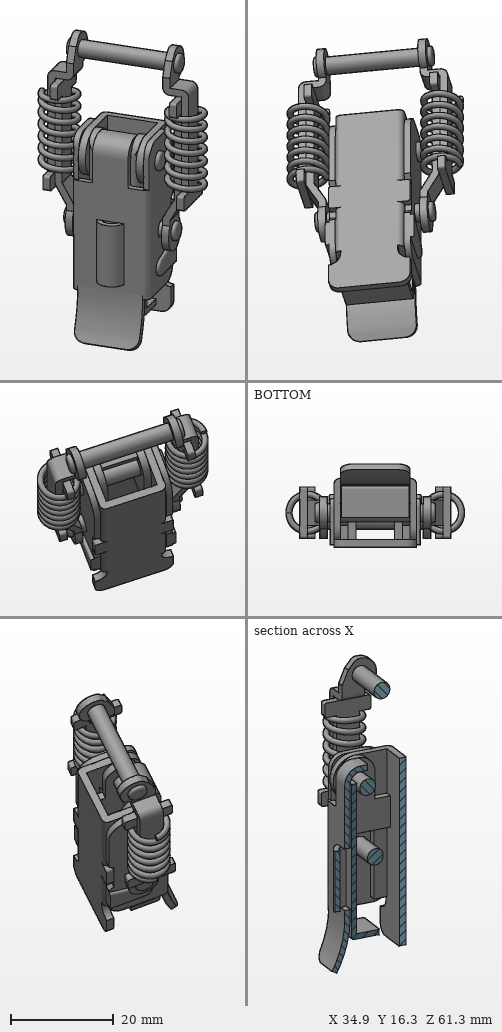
import cadquery as cq
import math


base_sheet = 1.55
base_half_width = 6.8
base_corner_radius = 1.15
base_bottom = 11.65
body_top = 43.0
base_wall_depth = 4.3
foot_half_width = 8.1
foot_bottom = 3.1
foot_top = 8.65
foot_corner_radius = 2.1
ear_bottom = 21.7
ear_top = 26.65
ear_corner_radius = 0.5

lever_sheet = 1.3
lever_half_width = base_half_width + lever_sheet
lever_front = -13.5
lever_back = -0.5
lever_bottom = 10.4
lever_bend_radius = 1.3
wall_top_back_radius = 4.55
wall_top_front_radius = 3.0
wall_bottom_radius = 3.3
wall_setback = 0.55
slot_bottom = 33.6
slot_corner_radius = 0.35
relief_depth = 1.05
relief_bottom = 19.3
relief_top = 28.4
tongue_radius = 3.55
handle_top = 11.2
handle_outer_radius = 21.45
handle_corner_radius = 2.3
rib_radius = 3.0
rib_inner_radius = 1.85
rib_height = 2.1
rib_bottom = 13.0
rib_top = 25.9
bump_height = 0.75
bump_nose_radius = 1.8
bump_nose_y = -7.8
bump_nose_z = 15.4
bump_back_top = 18.9
bump_edge_radius = 0.4

lock_half_width = base_half_width - base_sheet
lock_inner_half_width = 3.75
lock_gap = 0.2
lock_web = 1.2
lock_bend_radius = 1.05
lock_wall_bottom = 27.0
hook_half_width = 6.6
hook_bottom = 6.4
hook_tip = -5.8
hook_bend_radius = 0.75

pin_radius = 1.8
head_radius = 1.95
head_length = 0.9
head_edge_radius = 0.5
pivot_y = -8.4
pivot_z = 38.1
top_pin_y = -5.3
top_pin_z = 58.0
link_y = -6.75
low_pin_z = 23.05

strap_sheet = 1.55
strap_width = 4.95
strap_head_inner = 9.3
strap_head_outer = strap_head_inner + strap_sheet
strap_plane = 13.25
cross_width = 10.1
cross_height = 3.05
cross_corner_radius = 0.5
upper_cross_top = 52.1
lower_cross_bottom = 29.6
step_top = 54.2
step_bend_radius = 1.5
eye_radius = 3.3
eye_offset = 0.25
eye_top_front = -5.7
shoulder_radius = 2.1
shoulder_end = (-7.0, 60.3)
flank_start = (-7.9, 59.35)
flank_foot_z = 56.3
low_eye_radius = 3.1
low_eye_stretch = 1.0
joggle_top = 30.65
joggle_bottom = 26.55
section_depth = 36.8

wire_radius = 0.6
spring_diameter = 8.4
coil_radius = spring_diameter / 2 - wire_radius
spring_top = upper_cross_top - cross_height
spring_bottom = lower_cross_bottom + cross_height
active_turns = 6


def box(x0, x1, y0, y1, z0, z1):
    return cq.Workplane("XY").box(x1 - x0, y1 - y0, z1 - z0, centered=False).translate((x0, y0, z0))


def side_sketch(x):
    """Sketch plane normal to X at the given x, with local axes Y and Z."""
    return cq.Workplane("YZ", origin=(x, 0, 0))


def front_sketch(y):
    """Sketch plane at the given y, with local axes X and Z, extruding toward -Y."""
    return cq.Workplane("XZ", origin=(0, y, 0))


def both_sides(shape):
    return shape.union(shape.mirror("YZ"))


def round_bar(radius, half_length, y, z):
    return side_sketch(-half_length).center(y, z).circle(radius).extrude(2 * half_length)


def headed_pin(seat, y, z):
    """Pin along X whose rounded heads start at x = +-seat."""
    head = side_sketch(seat).center(y, z).circle(head_radius).extrude(head_length)
    head = head.faces(">X").edges().fillet(head_edge_radius)
    return round_bar(pin_radius, seat, y, z).union(both_sides(head))


def build_base():
    channel = box(-base_half_width, base_half_width, pivot_y, 0, base_bottom, body_top)
    channel = channel.edges("|Z and >Y").fillet(base_corner_radius)
    inner = base_half_width - base_sheet
    channel = channel.cut(box(-inner, inner, pivot_y, -base_sheet, base_bottom, body_top))

    boss_radius = body_top - pivot_z
    channel = channel.cut(
        box(-base_half_width, base_half_width, pivot_y, -base_wall_depth, base_bottom, pivot_z)
    )
    boss = side_sketch(inner).center(pivot_y, pivot_z).circle(boss_radius).extrude(base_sheet)
    base = channel.union(both_sides(boss))

    neck = base_half_width - base_corner_radius
    flare = foot_half_width - neck
    foot = (
        front_sketch(0)
        .moveTo(-foot_half_width, foot_bottom)
        .lineTo(foot_half_width, foot_bottom)
        .lineTo(foot_half_width, foot_top)
        .radiusArc((neck, foot_top + flare), flare)
        .lineTo(neck, base_bottom + base_sheet)
        .lineTo(-neck, base_bottom + base_sheet)
        .lineTo(-neck, foot_top + flare)
        .radiusArc((-foot_half_width, foot_top), flare)
        .close()
        .extrude(base_sheet)
    )
    foot = foot.edges("|Y and <Z").fillet(foot_corner_radius)

    ears = box(-foot_half_width, foot_half_width, -base_sheet, 0, ear_bottom, ear_top)
    ears = ears.edges("|Y").fillet(ear_corner_radius)
    base = base.union(foot).union(ears)
    return base.cut(round_bar(pin_radius, base_half_width, pivot_y, pivot_z))


def lever_channel():
    channel = box(-lever_half_width, lever_half_width, lever_front, lever_back, lever_bottom, body_top)
    channel = channel.edges("|Z and <Y").fillet(lever_bend_radius)
    inside = box(
        -base_half_width, base_half_width, lever_front + lever_sheet, lever_back, lever_bottom, body_top
    )
    channel = channel.cut(inside)

    upper_front = lever_front + wall_setback
    relief_y = lever_back - relief_depth
    wall = (
        side_sketch(-lever_half_width)
        .moveTo(lever_front, lever_bottom)
        .lineTo(lever_front, slot_bottom)
        .lineTo(upper_front, slot_bottom)
        .lineTo(upper_front, body_top - wall_top_front_radius)
        .radiusArc((upper_front + wall_top_front_radius, body_top), wall_top_front_radius)
        .lineTo(lever_back - wall_top_back_radius, body_top)
        .radiusArc((lever_back, body_top - wall_top_back_radius), wall_top_back_radius)
        .lineTo(lever_back, relief_top)
        .lineTo(relief_y, relief_top - relief_depth)
        .lineTo(relief_y, relief_bottom + relief_depth)
        .lineTo(lever_back, relief_bottom)
        .lineTo(lever_back, lever_bottom + wall_bottom_radius)
        .radiusArc((lever_back - wall_bottom_radius, lever_bottom), wall_bottom_radius)
        .close()
        .extrude(2 * lever_half_width)
    )
    opening = box(-base_half_width, base_half_width, lever_front, pivot_y, slot_bottom, body_top)
    return channel.intersect(wall).cut(opening)


def lever_tongue():
    """Strip of the front sheet bent back over the pivot."""
    curl_z = body_top - tongue_radius
    inner_radius = tongue_radius - lever_sheet
    front_center = lever_front + tongue_radius
    return (
        side_sketch(-lock_inner_half_width)
        .moveTo(lever_front, slot_bottom)
        .lineTo(lever_front, curl_z)
        .radiusArc((front_center, body_top), tongue_radius)
        .lineTo(pivot_y, body_top)
        .lineTo(pivot_y, body_top - lever_sheet)
        .lineTo(front_center, body_top - lever_sheet)
        .radiusArc((lever_front + lever_sheet, curl_z), -inner_radius)
        .lineTo(lever_front + lever_sheet, slot_bottom)
        .close()
        .extrude(2 * lock_inner_half_width)
    )


def lever_handle():
    """Sheet bent forward on an arc about an axis along X, ending square at Z = 0."""
    center_y = lever_front - handle_outer_radius
    inner_radius = handle_outer_radius + lever_sheet
    sweep = math.asin(handle_top / inner_radius)

    def on_arc(radius, angle):
        return (center_y + radius * math.cos(angle), handle_top - radius * math.sin(angle))

    handle = (
        side_sketch(-base_half_width)
        .moveTo(*on_arc(handle_outer_radius, 0))
        .threePointArc(on_arc(handle_outer_radius, sweep / 2), on_arc(handle_outer_radius, sweep))
        .lineTo(*on_arc(inner_radius, sweep))
        .threePointArc(on_arc(inner_radius, sweep / 2), on_arc(inner_radius, 0))
        .close()
        .extrude(2 * base_half_width)
    )
    return handle.faces("<Z").edges("not |X").fillet(handle_corner_radius)


def lever_bump():
    """Wedge raised on the +X wall, narrowing to a round nose."""
    run = lever_back - bump_nose_y
    rise = bump_back_top - bump_nose_z
    tangent = math.atan2(rise, run) + math.acos(bump_nose_radius / math.hypot(run, rise))
    touch = (
        bump_nose_y + bump_nose_radius * math.cos(tangent),
        bump_nose_z + bump_nose_radius * math.sin(tangent),
    )
    bump = (
        side_sketch(lever_half_width)
        .moveTo(lever_back, bump_back_top)
        .lineTo(*touch)
        .threePointArc(
            (bump_nose_y - bump_nose_radius, bump_nose_z),
            (bump_nose_y, bump_nose_z - bump_nose_radius),
        )
        .lineTo(lever_back, bump_nose_z - bump_nose_radius)
        .close()
        .extrude(bump_height)
    )
    return bump.faces(">X").edges("not >Y").fillet(bump_edge_radius)


def build_lever():
    lever = lever_channel().union(lever_tongue())
    corner = cq.selectors.BoxSelector(
        (-lock_half_width, lever_front - lever_sheet, slot_bottom - slot_corner_radius),
        (lock_half_width, lever_front + 2 * lever_sheet, slot_bottom + slot_corner_radius),
    )
    lever = lever.edges("|Y").edges(corner).fillet(slot_corner_radius)
    lever = lever.union(lever_handle())

    rib_y = lever_front + rib_radius - rib_height
    rib_length = rib_top - rib_bottom
    rib_plane = cq.Workplane("XY", origin=(0, rib_y, rib_bottom))
    rib = rib_plane.circle(rib_radius).extrude(rib_length)
    rib_front = lever_front - rib_height
    rib_back = lever_front + lever_sheet
    rib = rib.intersect(box(-rib_radius, rib_radius, rib_front, rib_back, rib_bottom, rib_top))
    lever = lever.union(rib).cut(rib_plane.circle(rib_inner_radius).extrude(rib_length))

    lever = lever.union(both_sides(lever_bump()))
    lever = lever.union(headed_pin(lever_half_width, pivot_y, pivot_z))
    return lever.cut(round_bar(pin_radius, lever_half_width, link_y, low_pin_z))


def build_lock():
    front = lever_front + lever_sheet + lock_gap
    curl_z = body_top - tongue_radius
    head_y = front + tongue_radius

    outline = (
        side_sketch(-lock_half_width)
        .moveTo(front, lock_wall_bottom)
        .lineTo(front, curl_z)
        .threePointArc((head_y, body_top), (head_y + tongue_radius, curl_z))
        .lineTo(head_y + tongue_radius, slot_bottom)
        .lineTo(-base_sheet, slot_bottom)
        .lineTo(-base_sheet, lock_wall_bottom)
        .close()
        .extrude(2 * lock_half_width)
    )
    channel = box(-lock_half_width, lock_half_width, front, -base_sheet, lock_wall_bottom, body_top)
    channel = channel.edges("|Z and <Y").fillet(lock_bend_radius).intersect(outline)
    inner = lock_inner_half_width
    channel = channel.cut(box(-inner, inner, front + lock_web, -base_sheet, lock_wall_bottom, body_top))
    channel = channel.cut(box(-inner, inner, front, -base_sheet, curl_z, body_top))

    web = box(-hook_half_width, hook_half_width, front, hook_tip, hook_bottom, lock_wall_bottom)
    web = web.edges("|X and <Y and <Z").fillet(hook_bend_radius)
    web = web.cut(
        box(
            -hook_half_width, hook_half_width, front + lock_web, hook_tip,
            hook_bottom + lock_web, lock_wall_bottom,
        )
    )
    return channel.union(web).cut(round_bar(pin_radius, lock_half_width, pivot_y, pivot_z))


def strap_blank(bottom, top):
    """Straight strap outline, deep enough in X for any bend of the strap."""
    half = strap_width / 2
    return box(0, strap_plane + strap_sheet, link_y - half, link_y + half, bottom, top)


def cross_piece(bottom):
    half = cross_width / 2
    bar = box(
        0, strap_plane + strap_sheet, link_y - half, link_y + half, bottom, bottom + cross_height
    )
    return bar.edges("|X").fillet(cross_corner_radius)


def build_upper_link():
    outer = strap_plane + strap_sheet
    step_bottom = step_top - strap_sheet
    section = (
        front_sketch(section_depth / 2)
        .moveTo(strap_head_inner, top_pin_z + eye_radius)
        .lineTo(strap_head_inner, step_bottom + step_bend_radius)
        .radiusArc((strap_head_inner + step_bend_radius, step_bottom), -step_bend_radius)
        .lineTo(strap_plane, step_bottom)
        .lineTo(strap_plane, lower_cross_bottom)
        .lineTo(outer, lower_cross_bottom)
        .lineTo(outer, step_top - step_bend_radius)
        .radiusArc((outer - step_bend_radius, step_top), -step_bend_radius)
        .lineTo(strap_head_outer, step_top)
        .lineTo(strap_head_outer, top_pin_z + eye_radius)
        .close()
        .extrude(section_depth)
    )

    strap_front = link_y - strap_width / 2
    strap_back = link_y + strap_width / 2
    eye_y = top_pin_y + eye_offset
    eye_foot = top_pin_z - math.sqrt(eye_radius**2 - (strap_back - eye_y) ** 2)
    eye = (
        side_sketch(0)
        .moveTo(strap_back, eye_foot)
        .threePointArc((eye_y + eye_radius, top_pin_z), (eye_y, top_pin_z + eye_radius))
        .lineTo(eye_top_front, top_pin_z + eye_radius)
        .radiusArc(shoulder_end, -shoulder_radius)
        .lineTo(*flank_start)
        .lineTo(strap_front, flank_foot_z)
        .lineTo(strap_front, eye_foot)
        .close()
        .extrude(outer)
    )
    strap = strap_blank(lower_cross_bottom, eye_foot).union(eye)
    strap = strap.union(cross_piece(lower_cross_bottom)).intersect(section)
    return both_sides(strap).union(headed_pin(strap_head_outer, top_pin_y, top_pin_z))


def build_lower_link():
    bottom = low_pin_z - low_eye_stretch - low_eye_radius
    strap_inner = strap_plane - strap_sheet
    slant = math.atan2(strap_inner - strap_head_inner, joggle_top - joggle_bottom)
    miter_drop = strap_sheet * math.tan(slant / 2)
    section = (
        front_sketch(section_depth / 2)
        .moveTo(strap_inner, upper_cross_top)
        .lineTo(strap_inner, joggle_top)
        .lineTo(strap_head_inner, joggle_bottom)
        .lineTo(strap_head_inner, bottom)
        .lineTo(strap_head_outer, bottom)
        .lineTo(strap_head_outer, joggle_bottom - miter_drop)
        .lineTo(strap_plane, joggle_top - miter_drop)
        .lineTo(strap_plane, upper_cross_top)
        .close()
        .extrude(section_depth)
    )
    reach = strap_plane + strap_sheet
    eye = side_sketch(0).center(link_y, low_pin_z - low_eye_stretch / 2)
    eye = eye.slot2D(2 * low_eye_radius + low_eye_stretch, 2 * low_eye_radius, 90).extrude(reach)
    strap = strap_blank(low_pin_z, upper_cross_top).union(eye)
    strap = strap.union(cross_piece(upper_cross_top - cross_height)).intersect(section)
    return both_sides(strap).union(headed_pin(strap_head_outer, link_y, low_pin_z))


def build_spring(x):
    """Left-hand compression spring around a strap pair, with a flat half turn at each end."""
    low_z = spring_bottom + wire_radius
    high_z = spring_top - wire_radius
    active_length = high_z - low_z

    def wire_section(side, z):
        return cq.Workplane("XZ", origin=(x, link_y, z)).center(side * coil_radius, 0).circle(wire_radius)

    def half_turn(side, z):
        """Flat half coil that starts at the given X side."""
        return wire_section(side, z).revolve(180, (-side * coil_radius, 0), (-side * coil_radius, 1))

    path = cq.Wire.makeHelix(
        active_length / active_turns,
        active_length,
        coil_radius,
        cq.Vector(x, link_y, low_z),
        lefthand=True,
    )
    coil = wire_section(1, low_z).sweep(cq.Workplane(path), isFrenet=True)
    return coil.union(half_turn(1, low_z)).union(half_turn(-1, high_z))


base = build_base()
lever = build_lever()
lock = build_lock()
upper_link = build_upper_link()
lower_link = build_lower_link()
springs = [build_spring(side * strap_plane) for side in (-1, 1)]

result = cq.Compound.makeCompound(
    [
        base.val(),
        lever.val(),
        lock.val(),
        upper_link.val(),
        lower_link.val(),
        *[spring.val() for spring in springs],
    ]
)